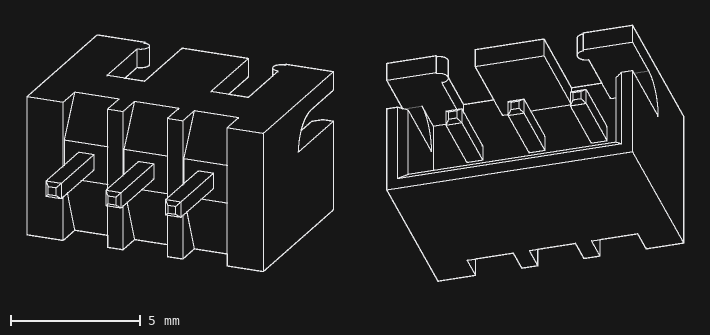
import cadquery as cq
import math

body_width = 9.9
overall_length = 10.3
body_length = 6.99
body_height = 5.75

wall = 0.77
cavity_depth = 3.74
mouth_chamfer = 0.33

top_slot_inner_x = 1.39
top_slot_outer_x = 2.96
latch_radius = 0.35
latch_setback = 0.42

window_length = body_length / 2
window_height = 1.29

pin_count = 3
pin_pitch = 2.5
pin_size = 0.64
pin_chamfer = 0.15
pin_tail = overall_length - body_length
pin_setback = 0.73
pin_drop = 2.34

notch_width = 1.85
notch_face_depth = 0.1
notch_edge_depth = 1.15
notch_face_top = 1.61
notch_face_bottom = 3.17

pin_positions = [(i - (pin_count - 1) / 2) * pin_pitch for i in range(pin_count)]
cavity_width = body_width - 2 * wall
cavity_height = body_height - 2 * wall
cavity_top = body_height - wall


def block(x_range, y_range, z_range):
    """Box spanning the given (low, high) ranges."""
    (x0, x1), (y0, y1), (z0, z1) = x_range, y_range, z_range
    return cq.Workplane("XY").box(x1 - x0, y1 - y0, z1 - z0, centered=False).translate((x0, y0, z0))


def make_cavity():
    """Rectangular cavity with a lead-in chamfer on the side and bottom walls."""
    half_width = cavity_width / 2
    main = block((-half_width, half_width), (body_length - cavity_depth, body_length), (wall, cavity_top))
    mouth_height = cavity_height + mouth_chamfer
    lead_in = (
        cq.Workplane("XZ", origin=(0, body_length, cavity_top - mouth_height / 2))
        .rect(cavity_width + 2 * mouth_chamfer, mouth_height)
        .workplane(offset=mouth_chamfer)
        .center(0, mouth_chamfer / 2)
        .rect(cavity_width, cavity_height)
        .loft(ruled=True)
    )
    return main.union(lead_in)


def make_top_slot(side):
    """Slot through the top wall; side is -1 or 1."""
    x_range = sorted((side * top_slot_inner_x, side * top_slot_outer_x))
    y_range = (body_length - cavity_depth, body_length)
    slot = block(x_range, y_range, (cavity_top, body_height))
    latch = (
        cq.Workplane("XY", origin=(side * top_slot_outer_x, body_length - latch_setback, cavity_top))
        .circle(latch_radius)
        .extrude(wall)
    )
    return slot.cut(latch)


def make_side_windows():
    """Windows through both side walls, with a quarter-round upper inner corner."""
    back = body_length - window_length
    window_bottom = cavity_top - window_height
    arc_center_y = back + window_height
    arc_reach = window_height * math.sqrt(0.5)
    return (
        cq.Workplane("YZ")
        .moveTo(back, window_bottom)
        .threePointArc((arc_center_y - arc_reach, window_bottom + arc_reach), (arc_center_y, cavity_top))
        .lineTo(body_length, cavity_top)
        .lineTo(body_length, window_bottom)
        .close()
        .extrude(body_width / 2, both=True)
    )


def make_notch(x):
    """Notch on the tail end, shallow at the pin and deeper at the top and bottom."""
    return (
        cq.Workplane("YZ", origin=(x, 0, 0))
        .polyline([
            (0, 0),
            (notch_edge_depth, 0),
            (notch_face_depth, body_height - notch_face_bottom),
            (notch_face_depth, body_height - notch_face_top),
            (notch_edge_depth, body_height),
            (0, body_height),
        ])
        .close()
        .extrude(notch_width / 2, both=True)
    )


def make_pin(x):
    """Square pin with both ends chamfered."""
    z = body_height - pin_drop
    half = pin_size / 2
    pin = block((x - half, x + half), (-pin_tail, body_length - pin_setback), (z - half, z + half))
    return pin.faces("<Y or >Y").chamfer(pin_chamfer)


result = block((-body_width / 2, body_width / 2), (0, body_length), (0, body_height))
result = result.cut(make_cavity()).cut(make_side_windows())
for side in (-1, 1):
    result = result.cut(make_top_slot(side))
for x in pin_positions:
    result = result.cut(make_notch(x)).union(make_pin(x))